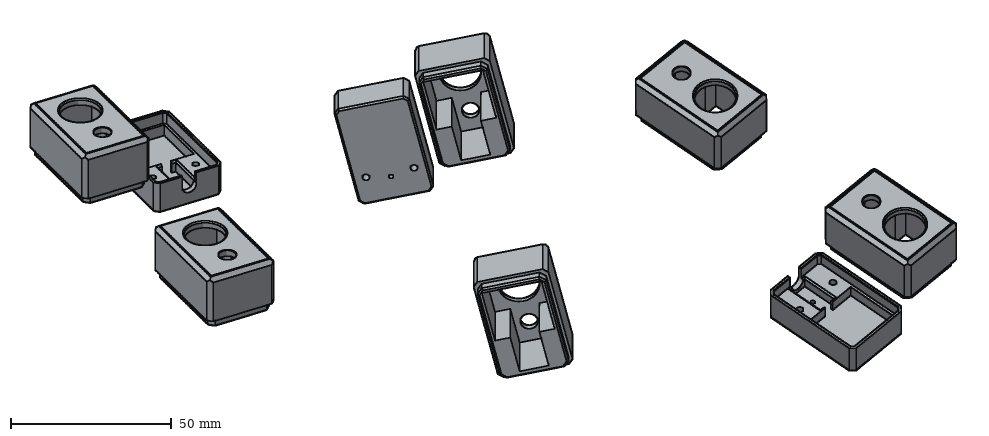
import cadquery as cq

LENGTH = 36.0
WIDTH = 24.0
CORNER = 1.5

BODY_GAP = 1.7
LID_BOTTOM = 10.6
LID_X = 0.29
LID_LIFT = 0.1
SPARE_LID_X = 80.2

TRAY_HEIGHT = 11.0
TRAY_BASE_CHAMFER = 0.6
TRAY_FLOOR = 3.0
TRAY_WALL = 1.02
TRAY_INNER_CORNER = 0.91
RIM_BEVEL = 0.17
LEDGE_HEIGHT = 7.0
POCKET_INSET = 2.0
POCKET_LENGTH = 19.0
CHANNEL_START = 21.7
CHANNEL_LENGTH = 12.3
CHANNEL_WIDTH = 6.3
CHANNEL_BEVEL = 0.6
GATE_WIDTH = 3.5
NOTCH_DIAMETER = 5.0
SCREW_DIAMETER = 2.2
SCREW_X = 26.3
SCREW_SPACING = 15.3
PILOT_DIAMETER = 1.4
PILOT_X = 27.8

LIP_HEIGHT = 3.0
LIP_INSET = 1.0
LIP_CORNER = 1.7
LIP_CHAMFER = 0.6
LID_BODY_HEIGHT = 15.9
LID_CHAMFER = 1.4
PANEL_MARGIN = 0.3
PANEL_RISE = 0.09
LID_ROOF = 2.2
LID_CAVITY_INSET = 2.4
LID_CAVITY_LENGTH = 18.0
LID_CHANNEL_WIDTH = 9.3
LID_CHANNEL_LENGTH = 12.8
WINDOW_DIAMETER = 13.0
WINDOW_CHAMFER = 0.5
WINDOW_X = 12.1
BUTTON_DIAMETER = 5.5
BUTTON_CHAMFER = 0.17
BUTTON_X = 26.3

MID_X = LENGTH / 2
MID_Y = WIDTH / 2
POCKET_END = POCKET_INSET + POCKET_LENGTH
CHANNEL_END = CHANNEL_START + CHANNEL_LENGTH
LID_SHELL_HEIGHT = LID_BODY_HEIGHT - PANEL_RISE


def inset_block(inset, bottom, height):
    """Rectangular block set in from the common plan outline on all four sides."""
    return (
        cq.Workplane("XY", origin=(MID_X, MID_Y, bottom))
        .rect(LENGTH - 2 * inset, WIDTH - 2 * inset)
        .extrude(height)
    )


def cornered_block(inset, bottom, height, corner=CORNER):
    """Inset block with its four upright edges cut off at 45 degrees."""
    return inset_block(inset, bottom, height).edges("|Z").chamfer(corner)


def centred_box(x_start, bottom, length, width, height):
    """Box that starts at x_start and straddles the centre line in Y."""
    return (
        cq.Workplane("XY", origin=(x_start, MID_Y, bottom))
        .box(length, width, height, centered=(False, True, False))
    )


def upright_cylinder(x, y, diameter, bottom, height):
    return cq.Workplane("XY", origin=(x, y, bottom)).circle(diameter / 2).extrude(height)


def tray_recess():
    """Space inside the rim, above the ledge, widened by a small bevel at the mouth."""
    depth = TRAY_HEIGHT - LEDGE_HEIGHT
    recess = cornered_block(TRAY_WALL, LEDGE_HEIGHT, depth, TRAY_INNER_CORNER)
    mouth_inset = TRAY_WALL - RIM_BEVEL
    mouth = cornered_block(mouth_inset, TRAY_HEIGHT - RIM_BEVEL, 2 * RIM_BEVEL, TRAY_INNER_CORNER)
    mouth = mouth.faces("<Z").chamfer(RIM_BEVEL)
    return recess.union(mouth)


def tray_channel():
    """Side channel with a mouth bevelled on all four sides, and the gate to the pocket."""
    depth = LEDGE_HEIGHT - TRAY_FLOOR
    channel = centred_box(CHANNEL_START, TRAY_FLOOR, CHANNEL_LENGTH, CHANNEL_WIDTH, depth)
    mouth_x = (CHANNEL_START + CHANNEL_END) / 2
    mouth = (
        cq.Workplane("XY", origin=(mouth_x, MID_Y, LEDGE_HEIGHT - CHANNEL_BEVEL))
        .rect(CHANNEL_LENGTH, CHANNEL_WIDTH)
        .workplane(offset=CHANNEL_BEVEL)
        .rect(CHANNEL_LENGTH + 2 * CHANNEL_BEVEL, CHANNEL_WIDTH + 2 * CHANNEL_BEVEL)
        .loft()
    )
    gate = centred_box(POCKET_END, TRAY_FLOOR, CHANNEL_START - POCKET_END, GATE_WIDTH, depth)
    return channel.union(mouth).union(gate)


def tray_notch():
    """Round-bottomed cable notch through the +X wall, open at the rim."""
    length = LENGTH - CHANNEL_END
    trough = (
        cq.Workplane("YZ", origin=(CHANNEL_END, MID_Y, LEDGE_HEIGHT))
        .circle(NOTCH_DIAMETER / 2)
        .extrude(length)
    )
    depth = TRAY_HEIGHT - LEDGE_HEIGHT
    slot = centred_box(CHANNEL_END, LEDGE_HEIGHT, length, NOTCH_DIAMETER, depth)
    return trough.union(slot)


def make_tray():
    tray = cornered_block(0, 0, TRAY_HEIGHT).faces("<Z").chamfer(TRAY_BASE_CHAMFER)
    tray = tray.cut(tray_recess())

    pocket_depth = LEDGE_HEIGHT - TRAY_FLOOR
    pocket_width = WIDTH - 2 * POCKET_INSET
    pocket = centred_box(POCKET_INSET, TRAY_FLOOR, POCKET_LENGTH, pocket_width, pocket_depth)
    tray = tray.cut(pocket).cut(tray_channel()).cut(tray_notch())

    for side in (-1, 1):
        screw_y = MID_Y + side * SCREW_SPACING / 2
        tray = tray.cut(upright_cylinder(SCREW_X, screw_y, SCREW_DIAMETER, 0, LEDGE_HEIGHT))
    return tray.cut(upright_cylinder(PILOT_X, MID_Y, PILOT_DIAMETER, 0, TRAY_FLOOR))


def roof_hole(x, diameter, chamfer, ceiling):
    """Cutter for a round hole through the lid roof, flared at 45 degrees at the top."""
    depth = LID_ROOF + PANEL_RISE
    flare = (
        cq.Workplane("XY", origin=(x, MID_Y, ceiling + depth - chamfer))
        .circle(diameter / 2)
        .workplane(offset=chamfer)
        .circle(diameter / 2 + chamfer)
        .loft()
    )
    return upright_cylinder(x, MID_Y, diameter, ceiling, depth).union(flare)


def make_lid():
    shell_top = LIP_HEIGHT + LID_SHELL_HEIGHT
    ceiling = shell_top - LID_ROOF

    mitred_top = inset_block(0, LIP_HEIGHT, LID_SHELL_HEIGHT).faces(">Z").chamfer(LID_CHAMFER)
    shell = cornered_block(0, LIP_HEIGHT, LID_SHELL_HEIGHT).intersect(mitred_top)
    lip = cornered_block(LIP_INSET, 0, LIP_HEIGHT, LIP_CORNER).faces("<Z").chamfer(LIP_CHAMFER)
    lid = shell.union(lip)

    cavity_width = WIDTH - 2 * LID_CAVITY_INSET
    cavity_end = LID_CAVITY_INSET + LID_CAVITY_LENGTH
    lid = lid.cut(centred_box(LID_CAVITY_INSET, 0, LID_CAVITY_LENGTH, cavity_width, ceiling))
    lid = lid.cut(centred_box(cavity_end, 0, LID_CHANNEL_LENGTH, LID_CHANNEL_WIDTH, ceiling))

    lid = lid.union(inset_block(LID_CHAMFER + PANEL_MARGIN, shell_top, PANEL_RISE))
    for x, diameter, chamfer in (
        (WINDOW_X, WINDOW_DIAMETER, WINDOW_CHAMFER),
        (BUTTON_X, BUTTON_DIAMETER, BUTTON_CHAMFER),
    ):
        lid = lid.cut(roof_hole(x, diameter, chamfer, ceiling))
    return lid


tray = make_tray().translate((0, WIDTH + BODY_GAP, 0))
lid_places = [
    (LID_X, 0, LID_BOTTOM + LID_LIFT),
    (SPARE_LID_X, 0, LID_BOTTOM),
]
lids = [make_lid().translate(place) for place in lid_places]

result = cq.Compound.makeCompound([tray.val(), *[lid.val() for lid in lids]])